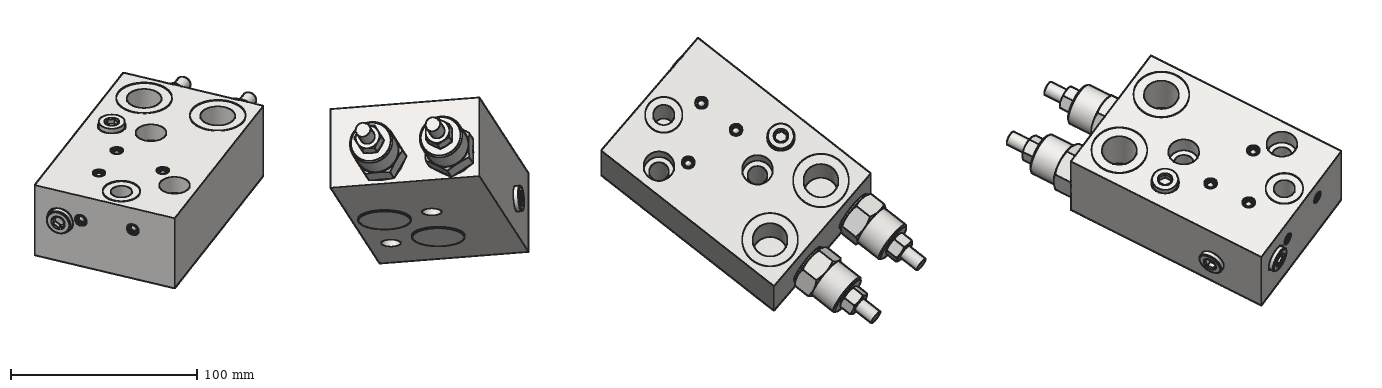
import cadquery as cq
import math

hex_half_step = 30
hex_chamfer_angle = 30

block_width = 82.0
block_length = 120.0
block_height = 45.0

large_port_places = [(20.0, 101.8), (63.0, 101.8)]
large_port_face = 30.0
large_port_bore = 18.7
small_port_place = (45.0, 13.3)
small_port_face = 20.0
small_port_bore = 11.4
spotface_depth = 0.5
port_depth = 25.5

pattern_center = (53.0, 50.7)
bolt_offset = (16.0, -21.0)
bolt_bore = 10.5
bolt_head_bore = 16.5
bolt_head_depth = 10.2

pad_offset = (11.2, 15.8)
pad_diameter = 28.5
pad_height = 0.8
pad_chamfer = 0.3

plug_diameter = 14.0
plug_recess_diameter = 15.0
plug_recess_depth = 0.8
plug_chamfer = 0.5
plug_socket_mouth = 8.0
plug_socket_flats = 6.1
plug_socket_bevel = 0.7
plug_socket_depth = 3.4
side_plug_height = 3.0
front_plug_height = 2.7
top_plug_height = 2.5
left_column = 15.0
side_plug_place = (30.6, 19.4)
front_plug_place = (left_column, 26.4)
top_plug_place = (left_column, 69.9)

expander_top_places = [(27.0, 48.6), (57.5, 40.5), (27.0, 24.6)]
expander_front_places = [(27.0, 29.4), (57.5, 31.5)]
expander_seat = 7.0
expander_rim = 5.0
expander_ball = 4.2
expander_bevel = 0.5
expander_depth = 2.7

cartridge_places = [(left_column, 13.8), (53.4, 13.8)]
cartridge_hex_turns = [0, hex_half_step]
body_diameter = 23.5
body_chamfer = 0.8
collar_length = 1.2
large_hex_end = 12.8
body_end = 28.0
small_hex_end = 35.9
stud_end = 47.3
large_hex_flats = 24.0
small_hex_flats = 13.0
stud_diameter = 8.0


def on_top(x, y):
    """Plane on the top face, its Z axis pointing out of the block."""
    return cq.Plane((x, y, block_height), xDir=(1, 0, 0), normal=(0, 0, 1))


def on_front(x, z):
    """Plane on the front face, its Z axis pointing out of the block."""
    return cq.Plane((x, 0, z), xDir=(1, 0, 0), normal=(0, -1, 0))


def on_left(y, z):
    """Plane on the left face, its Z axis pointing out of the block."""
    return cq.Plane((0, y, z), xDir=(0, -1, 0), normal=(-1, 0, 0))


def on_rear(x, z):
    """Plane on the rear face, its Z axis pointing out of the block."""
    return cq.Plane((x, block_length, z), xDir=(-1, 0, 0), normal=(0, 1, 0))


def cylinder(plane, diameter, start, end):
    """Cylinder between two heights along the plane's Z axis."""
    return cq.Workplane(plane).workplane(offset=start).circle(diameter / 2).extrude(end - start)


def turned(plane, profile):
    """Solid of revolution about the plane's Z axis from (radius, height) points."""
    section = cq.Plane(plane.origin, xDir=plane.xDir, normal=plane.xDir.cross(plane.zDir))
    return cq.Workplane(section).polyline(profile).close().revolve(360, (0, 0), (0, 1))


def corner_diameter(flats):
    """Diameter through the corners of a hexagon of given width across flats."""
    return flats / math.cos(math.radians(hex_half_step))


def hexagon(plane, flats, start, end, turn=0):
    """Hexagonal prism with two flats facing the plane's X axis when not turned."""
    return (
        cq.Workplane(plane)
        .workplane(offset=start)
        .transformed(rotate=(0, 0, hex_half_step + turn))
        .polygon(6, corner_diameter(flats))
        .extrude(end - start)
    )


def chamfered_nut(plane, flats, start, end, turn):
    """Hexagonal nut whose corners are turned off conically at both ends."""
    outer = corner_diameter(flats) / 2
    inner = flats / 2
    drop = (outer - inner) * math.tan(math.radians(hex_chamfer_angle))
    envelope = turned(plane, [
        (0, start), (inner, start), (outer, start + drop),
        (outer, end - drop), (inner, end), (0, end),
    ])
    return hexagon(plane, flats, start, end, turn).intersect(envelope)


def cut_port(body, place, face_diameter, bore_diameter):
    """Spotface and blind bore in the top face."""
    plane = on_top(*place)
    body = body.cut(cylinder(plane, face_diameter, -spotface_depth, 0))
    return body.cut(cylinder(plane, bore_diameter, -port_depth, 0))


def pattern_place(offset, side):
    """Place on one side (-1 or 1) of the mounting pattern's center."""
    return (pattern_center[0] + side * offset[0], pattern_center[1] + side * offset[1])


def cut_bolt_hole(body, place):
    """Counterbored hole through the full block height."""
    plane = on_top(*place)
    body = body.cut(cylinder(plane, bolt_head_bore, -bolt_head_depth, 0))
    return body.cut(cylinder(plane, bolt_bore, -block_height, 0))


def add_pad(body, place):
    """Round pad below the block, chamfered at its lower rim."""
    pad = cq.Workplane().center(*place).circle(pad_diameter / 2).extrude(-pad_height)
    return body.union(pad.faces("<Z").chamfer(pad_chamfer))


def add_screw_plug(body, plane, height, recessed=True, chamfered=True, socket_turn=0):
    """Plug head with a hexagon socket, standing in a clearance recess if asked."""
    if recessed:
        body = body.cut(cylinder(plane, plug_recess_diameter, -plug_recess_depth, 0))
    radius = plug_diameter / 2
    chamfer = plug_chamfer if chamfered else 0
    body = body.union(cylinder(plane, plug_diameter, -plug_recess_depth, height - chamfer))
    if chamfered:
        body = body.union(turned(plane, [
            (0, height - chamfer), (radius, height - chamfer), (radius - chamfer, height), (0, height),
        ]))
    mouth = plug_socket_mouth / 2
    throat = plug_socket_flats / 2
    bevel_floor = height - plug_socket_bevel
    body = body.cut(turned(plane, [(0, height), (mouth, height), (throat, bevel_floor), (0, bevel_floor)]))
    return body.cut(hexagon(plane, plug_socket_flats, height - plug_socket_depth, height, socket_turn))


def add_expander(body, plane):
    """Chamfered seat and sleeve rim, closed by a ball that sits in the bore."""
    seat = expander_seat / 2
    rim = expander_rim / 2
    ball_radius = expander_ball / 2
    body = body.cut(turned(plane, [
        (0, 0), (seat, 0), (seat - expander_bevel, -expander_bevel), (rim, -expander_bevel),
        (ball_radius, ball_radius - expander_depth), (ball_radius, -expander_depth), (0, -expander_depth),
    ]))
    ball = cq.Workplane(plane).workplane(offset=-expander_depth).sphere(ball_radius)
    return body.union(ball)


def add_cartridge(body, place, turn):
    """Collar, large hexagon, round body, lock nut and adjusting stud."""
    plane = on_rear(*place)
    radius = body_diameter / 2
    sleeve = turned(plane, [
        (0, 0), (radius, 0), (radius, body_end - body_chamfer),
        (radius - body_chamfer, body_end), (0, body_end),
    ])
    body = body.union(sleeve)
    body = body.union(chamfered_nut(plane, large_hex_flats, collar_length, large_hex_end, turn))
    body = body.union(chamfered_nut(plane, small_hex_flats, body_end, small_hex_end, turn))
    return body.union(cylinder(plane, stud_diameter, body_end, stud_end))


block = cq.Workplane().box(block_width, block_length, block_height, centered=False)

for port in large_port_places:
    block = cut_port(block, port, large_port_face, large_port_bore)
block = cut_port(block, small_port_place, small_port_face, small_port_bore)

for side in (-1, 1):
    block = cut_bolt_hole(block, pattern_place(bolt_offset, side))
    block = add_pad(block, pattern_place(pad_offset, side))

block = add_screw_plug(block, on_top(*top_plug_place), top_plug_height, chamfered=False)
block = add_screw_plug(block, on_front(*front_plug_place), front_plug_height)
block = add_screw_plug(
    block, on_left(*side_plug_place), side_plug_height, recessed=False, socket_turn=hex_half_step
)

for expander in expander_top_places:
    block = add_expander(block, on_top(*expander))
for expander in expander_front_places:
    block = add_expander(block, on_front(*expander))

for cartridge, hex_turn in zip(cartridge_places, cartridge_hex_turns):
    block = add_cartridge(block, cartridge, hex_turn)

result = block